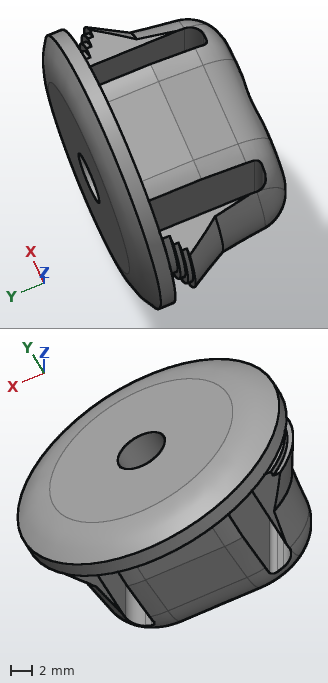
import cadquery as cq
import math


overall_depth = 17.0

flange_radius = 14.0
flange_rim = 1.5
flange_height = 2.97
dome_flat_radius = 9.8

end_offset = 4.23
base_radius = 7.22
shoulder_radius = 6.6
nose_flat_radius = 2.65
taper_start = -6.0
shoulder_y = -10.58
nose_y = flange_height - overall_depth

hole_radius = 2.52
counterbore_radius = end_offset
counterbore_depth = 1.18

core_half_width = 6.2
prong_inner_x = 8.75
slot_bottom_y = -11.98
slot_outer_fillet = 1.4
slot_inner_fillet = 0.55

prong_half_height = 4.93
prong_tip_radius = 9.3
prong_tip_y = -2.27
step_radii = (8.68, 8.0, 7.28)
step_tops = (-1.75, -1.25, -0.5)


def make_flange():
    """Disc with a rim and a rounded dome edge that meets its flat top smoothly."""
    rise = flange_height - flange_rim
    run = flange_radius - dome_flat_radius
    arc_radius = (run**2 + rise**2) / (2 * rise)
    half_angle = math.asin(run / arc_radius) / 2
    arc_middle = (
        dome_flat_radius + arc_radius * math.sin(half_angle),
        flange_height - arc_radius * (1 - math.cos(half_angle)),
    )
    return (
        cq.Workplane("XY")
        .lineTo(flange_radius, 0)
        .lineTo(flange_radius, flange_rim)
        .threePointArc(arc_middle, (dome_flat_radius, flange_height))
        .lineTo(0, flange_height)
        .close()
        .revolve(360, (0, 0, 0), (0, 1, 0))
    )


def body_profile(plane, upper_points):
    """Half profile (radius, y) running down through upper_points to the rounded nose."""
    side_points = upper_points + [(base_radius, taper_start), (shoulder_radius, shoulder_y)]
    return (
        plane.moveTo(0, upper_points[0][1])
        .polyline(side_points, includeCurrent=True)
        .tangentArcPoint((nose_flat_radius, nose_y), relative=False)
        .lineTo(0, nose_y)
        .close()
    )


def obround(upper_points):
    """Sweep the half profile around both ends and along the straight middle."""
    end = body_profile(cq.Workplane("XY"), upper_points).revolve(360, (0, 0, 0), (0, 1, 0))
    side_plane = cq.Plane(origin=(-end_offset, 0, 0), xDir=(0, 0, -1), normal=(1, 0, 0))
    half_middle = body_profile(cq.Workplane(side_plane), upper_points).extrude(2 * end_offset)
    return (
        half_middle.union(half_middle.mirror("XY"))
        .union(end.translate((end_offset, 0, 0)))
        .union(end.translate((-end_offset, 0, 0)))
    )


def prong_points():
    """Stepped tip of a prong as (radius, y), from its top down to its widest edge."""
    points = []
    lower_ends = step_tops[:-1][::-1] + (prong_tip_y,)
    for radius, top, bottom in zip(step_radii[::-1], step_tops[::-1], lower_ends):
        points += [(radius, top), (radius, bottom)]
    return points + [(prong_tip_radius, prong_tip_y)]


def x_band(half_width, half_height):
    """Box centred on the axis that spans the whole depth of the body."""
    return (
        cq.Workplane("XY")
        .box(2 * half_width, -nose_y, 2 * half_height, centered=(True, False, True))
        .translate((0, nose_y, 0))
    )


def slot(side):
    """Slot through Z with a rounded bottom, open towards the flange."""
    width = prong_inner_x - core_half_width
    cutter = (
        cq.Workplane("XY")
        .box(width, -slot_bottom_y, 2 * flange_radius, centered=(False, False, True))
        .translate((core_half_width, slot_bottom_y, 0))
    )
    cutter = cutter.edges("|Z and <Y and >X").fillet(slot_outer_fillet)
    cutter = cutter.edges("|Z and <Y and <X").fillet(slot_inner_fillet)
    return cutter if side > 0 else cutter.mirror("YZ")


core = obround([(base_radius, 0)]).intersect(x_band(prong_inner_x, flange_radius))
prongs = (
    obround(prong_points())
    .intersect(x_band(flange_radius, prong_half_height))
    .cut(x_band(prong_inner_x, flange_radius))
)
body = core.union(prongs).cut(slot(1)).cut(slot(-1))

bore = (
    cq.Workplane("XZ", origin=(0, flange_height, 0))
    .circle(hole_radius)
    .extrude(overall_depth)
)
counterbore = (
    cq.Workplane("XZ", origin=(0, nose_y + counterbore_depth, 0))
    .circle(counterbore_radius)
    .extrude(counterbore_depth)
)

result = make_flange().union(body).cut(bore).cut(counterbore)